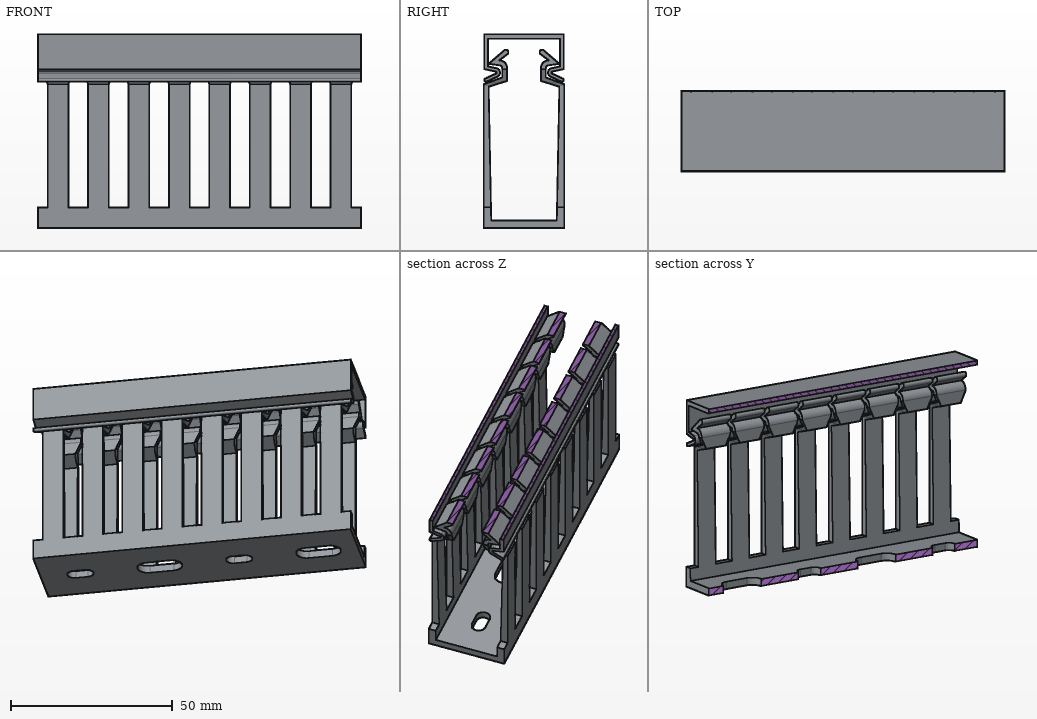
import cadquery as cq
import math

LENGTH = 100.0
WIDTH = 25.0
HEIGHT = 60.0
HALF_WIDTH = WIDTH / 2

FLOOR = 2.4
WALL_AT_FLOOR = 2.4
WALL_AT_TOP = 1.6
WALL_TOP_Z = 44.5
SILL_Z = 6.4

FINGER_COUNT = 8
PITCH = LENGTH / FINGER_COUNT
SLOT_WIDTH = 6.0
NECK_WIDTH = 1.7
TAPER_START_Z = 44.7
TAPER_END_Z = 49.2
TAPER_FILLET = 1.4

CLIP_THICKNESS = 1.6
CLIP_INNER = 5.2
CLIP_OUTER = CLIP_INNER + CLIP_THICKNESS
CLIP_FOOT_INNER_Z = 45.5
CLIP_FOOT_OUTER_Z = 46.6
FLANGE_UNDER_Z = 43.7
CLIP_BEND_RADIUS = 2.4
CLIP_BEND_CENTRE = (CLIP_INNER + CLIP_BEND_RADIUS, 49.5)
BARB_TIP = (11.0, 50.8)
BARB_END_CENTRE = (5.6, 54.4)
BARB_END_RADIUS = 0.8
BARB_ANGLE = 42.0

MOUNT_PAIRS = 2
MOUNT_PITCH = 25.0
LONG_MOUNT_LENGTH = 14.0
LONG_MOUNT_WIDTH = 6.5
SHORT_MOUNT_LENGTH = 8.2
SHORT_MOUNT_WIDTH = 4.4

LID_HALF_WIDTH = 12.3
LID_TOP = 1.5
LID_WALL = 1.2

LIP_THICKNESS = 1.1
LIP_BEND_CENTRE = (8.8, 48.1)
LIP_GROOVE_RADIUS = 0.3
LIP_BEND_RADIUS = LIP_GROOVE_RADIUS + LIP_THICKNESS
LIP_UPPER_SLOPE = 12.0
LIP_LOWER_SLOPE = 25.0
LIP_LOWER_LENGTH = 3.6


def polar(centre, radius, degrees):
    """Point on a circle in the cross-section, with the angle measured from the outward direction."""
    angle = math.radians(degrees)
    return (centre[0] + radius * math.cos(angle), centre[1] + radius * math.sin(angle))


def along_length(half_profile):
    """Extrude one half of a cross-section over the length and mirror it about y = 0."""
    half = half_profile.close().extrude(LENGTH)
    return half.union(half.mirror("XZ"))


def trough_profile():
    """Half cross-section of the base: floor, tapered wall, flange and barbed clip."""
    inner_radius = CLIP_BEND_RADIUS - CLIP_THICKNESS
    barb_direction = 180 - BARB_ANGLE
    return (
        cq.Workplane("YZ")
        .moveTo(0, 0)
        .lineTo(HALF_WIDTH, 0)
        .lineTo(HALF_WIDTH, WALL_TOP_Z)
        .lineTo(CLIP_OUTER, CLIP_FOOT_OUTER_Z)
        .lineTo(*polar(CLIP_BEND_CENTRE, inner_radius, 180))
        .threePointArc(
            polar(CLIP_BEND_CENTRE, inner_radius, 135),
            polar(CLIP_BEND_CENTRE, inner_radius, 90),
        )
        .lineTo(*BARB_TIP)
        .lineTo(*polar(BARB_END_CENTRE, BARB_END_RADIUS, barb_direction - 90))
        .threePointArc(
            polar(BARB_END_CENTRE, BARB_END_RADIUS, barb_direction),
            polar(BARB_END_CENTRE, BARB_END_RADIUS, barb_direction + 90),
        )
        .lineTo(*polar(CLIP_BEND_CENTRE, CLIP_BEND_RADIUS, 90))
        .threePointArc(
            polar(CLIP_BEND_CENTRE, CLIP_BEND_RADIUS, 135),
            polar(CLIP_BEND_CENTRE, CLIP_BEND_RADIUS, 180),
        )
        .lineTo(CLIP_INNER, CLIP_FOOT_INNER_Z)
        .lineTo(HALF_WIDTH - WALL_AT_TOP, FLANGE_UNDER_Z)
        .lineTo(HALF_WIDTH - WALL_AT_FLOOR, FLOOR)
        .lineTo(0, FLOOR)
    )


def finger_slot_cutter():
    """Cutter for the gap between two fingers, centred on x = 0 and narrowing to a neck at the heads."""
    half_slot = SLOT_WIDTH / 2
    half_neck = NECK_WIDTH / 2
    taper_angle = math.atan2(half_slot - half_neck, TAPER_END_Z - TAPER_START_Z)
    tangent = TAPER_FILLET * math.tan(taper_angle / 2)
    arc_start = (half_slot, TAPER_START_Z - tangent)
    arc_end = (
        half_slot - tangent * math.sin(taper_angle),
        TAPER_START_Z + tangent * math.cos(taper_angle),
    )
    half = (
        cq.Workplane("XZ")
        .moveTo(0, SILL_Z)
        .lineTo(half_slot, SILL_Z)
        .lineTo(*arc_start)
        .tangentArcPoint(arc_end, relative=False)
        .lineTo(half_neck, TAPER_END_Z)
        .lineTo(half_neck, HEIGHT)
        .lineTo(0, HEIGHT)
        .close()
        .extrude(HALF_WIDTH, both=True)
    )
    return half.union(half.mirror("YZ"))


def floor_slots(first_x, length, width):
    """Round-ended slots through the floor, one in each pair of mounting slots."""
    places = [(first_x + i * 2 * MOUNT_PITCH, 0) for i in range(MOUNT_PAIRS)]
    return cq.Workplane("XY").pushPoints(places).slot2D(length, width).extrude(FLOOR)


def make_base():
    """Slotted trough whose wall fingers end in barbed clips."""
    base = along_length(trough_profile())
    finger_slot = finger_slot_cutter()
    for i in range(FINGER_COUNT + 1):
        base = base.cut(finger_slot.translate((i * PITCH, 0, 0)))
    first_x = MOUNT_PITCH / 2
    base = base.cut(floor_slots(first_x, LONG_MOUNT_LENGTH, LONG_MOUNT_WIDTH))
    return base.cut(floor_slots(first_x + MOUNT_PITCH, SHORT_MOUNT_LENGTH, SHORT_MOUNT_WIDTH))


def make_lid():
    """Channel-shaped lid whose side walls fold into V-shaped lips."""
    inner = LID_HALF_WIDTH - LID_WALL
    upper_normal = 90 + LIP_UPPER_SLOPE
    lower_normal = 270 - LIP_LOWER_SLOPE
    bend_middle = (upper_normal + lower_normal) / 2

    upper_slope = math.tan(math.radians(LIP_UPPER_SLOPE))
    groove_top = polar(LIP_BEND_CENTRE, LIP_GROOVE_RADIUS, upper_normal)
    bend_top = polar(LIP_BEND_CENTRE, LIP_BEND_RADIUS, upper_normal)
    wall_outer_z = groove_top[1] + (LID_HALF_WIDTH - groove_top[0]) * upper_slope
    wall_inner_z = bend_top[1] + (inner - bend_top[0]) * upper_slope

    end_radius = LIP_THICKNESS / 2
    lower_start = polar(LIP_BEND_CENTRE, LIP_GROOVE_RADIUS + end_radius, lower_normal)
    end_centre = polar(lower_start, LIP_LOWER_LENGTH, -LIP_LOWER_SLOPE)

    profile = (
        cq.Workplane("YZ")
        .moveTo(0, HEIGHT)
        .lineTo(LID_HALF_WIDTH, HEIGHT)
        .lineTo(LID_HALF_WIDTH, wall_outer_z)
        .lineTo(*groove_top)
        .threePointArc(
            polar(LIP_BEND_CENTRE, LIP_GROOVE_RADIUS, bend_middle),
            polar(LIP_BEND_CENTRE, LIP_GROOVE_RADIUS, lower_normal),
        )
        .lineTo(*polar(end_centre, end_radius, lower_normal - 180))
        .threePointArc(
            polar(end_centre, end_radius, -LIP_LOWER_SLOPE),
            polar(end_centre, end_radius, lower_normal),
        )
        .lineTo(*polar(LIP_BEND_CENTRE, LIP_BEND_RADIUS, lower_normal))
        .threePointArc(
            polar(LIP_BEND_CENTRE, LIP_BEND_RADIUS, bend_middle),
            bend_top,
        )
        .lineTo(inner, wall_inner_z)
        .lineTo(inner, HEIGHT - LID_TOP)
        .lineTo(0, HEIGHT - LID_TOP)
    )
    return along_length(profile)


base = make_base()
lid = make_lid()
result = cq.Compound.makeCompound([base.val(), lid.val()])